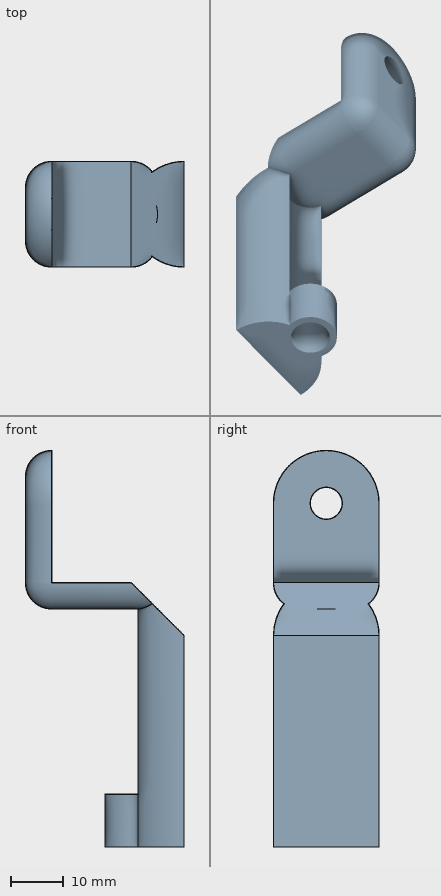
import cadquery as cq

length = 30.0
width = 20.0
height = 75.0
half_width = width / 2

thickness = 5.0
edge_radius = thickness
shelf_bottom = 45.0
shelf_top = shelf_bottom + thickness
plate_arc_z = height - half_width
plate_hole_diameter = 6.0

post_radius = half_width
post_front_x = length - post_radius

slope_run = length - post_front_x
slope_end_z = shelf_top - slope_run

ring_radius = 5.0
ring_hole_diameter = 7.4
ring_height = 10.0


def make_bracket():
    """Plate and shelf: a round-topped block with rounded outer edges, cut down to an L."""
    block = (
        cq.Workplane("YZ")
        .moveTo(-half_width, shelf_bottom)
        .lineTo(half_width, shelf_bottom)
        .lineTo(half_width, plate_arc_z)
        .threePointArc((0, height), (-half_width, plate_arc_z))
        .close()
        .extrude(length)
    )
    block = block.edges("|X and <Z").fillet(edge_radius)
    block = block.faces("<X").edges().fillet(edge_radius)
    space_above_shelf = (
        cq.Workplane("XY")
        .box(length - thickness, width, height - shelf_top, centered=(False, True, False))
        .translate((thickness, 0, shelf_top))
    )
    return block.cut(space_above_shelf)


def make_post():
    """Half-round post with a round groove along its front."""
    post = (
        cq.Workplane("XY")
        .moveTo(length, -post_radius)
        .threePointArc((post_front_x, 0), (length, post_radius))
        .close()
        .extrude(shelf_top)
    )
    groove = cq.Workplane("XY").center(post_front_x, 0).circle(ring_radius).extrude(shelf_bottom)
    return post.cut(groove)


def make_ring():
    """Solid ring blank that fills the foot of the groove."""
    return cq.Workplane("XY").center(post_front_x, 0).circle(ring_radius).extrude(ring_height)


def make_ring_hole():
    """Vertical hole through the ring."""
    return cq.Workplane("XY").center(post_front_x, 0).circle(ring_hole_diameter / 2).extrude(ring_height)


def make_plate_hole():
    """Hole through the plate, concentric with its round top."""
    return cq.Workplane("YZ").center(0, plate_arc_z).circle(plate_hole_diameter / 2).extrude(thickness)


def make_slope_cut():
    """Wedge above the sloped top of the shelf and post."""
    return (
        cq.Workplane("XZ")
        .moveTo(post_front_x, shelf_top)
        .lineTo(length, shelf_top)
        .lineTo(length, slope_end_z)
        .close()
        .extrude(half_width, both=True)
    )


result = (
    make_bracket()
    .union(make_post())
    .cut(make_slope_cut())
    .union(make_ring())
    .cut(make_ring_hole())
    .cut(make_plate_hole())
)